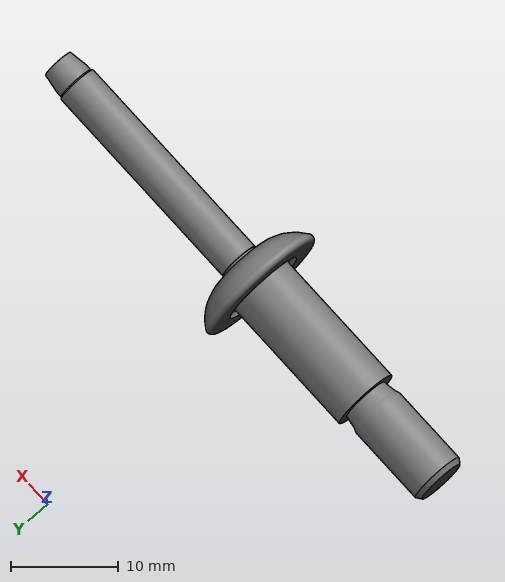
import cadquery as cq
import math


total_length = 53.0
head_blend_start = 8.55
head_blend_end = 9.1
sleeve_start = 10.45
flange_start = 24.6
dome_start = 25.45
dome_end = 27.55
shank_start = 28.0
shank_end = 50.35
pilot_start = 50.5
pilot_taper_start = 51.15

head_radius = 2.75
tip_chamfer_length = 0.55
tip_chamfer_depth = 0.35
blend_end_radius = 2.6
neck_radius = 2.4
sleeve_radius = 6.6 / 2
flange_radius = 13.3 / 2
flange_edge_round = 0.5
dome_face_radius = 3.3
dome_bulge = 0.4
shank_radius = 4.1 / 2
shank_neck_radius = 3.75 / 2
pilot_end_radius = 1.6

groove_width = 0.85


def arc_mid(start, end, bulge):
    """Point on an arc, offset from the chord to the left of travel."""
    dx = end[0] - start[0]
    dy = end[1] - start[1]
    chord = math.hypot(dx, dy)
    return (
        (start[0] + end[0]) / 2 - dy / chord * bulge,
        (start[1] + end[1]) / 2 + dx / chord * bulge,
    )


def revolve(profile):
    return profile.close().revolve(360, (0, 0, 0), (1, 0, 0))


def mandrel_head():
    return revolve(
        cq.Workplane("XY")
        .lineTo(0, head_radius - tip_chamfer_depth)
        .lineTo(tip_chamfer_length, head_radius)
        .lineTo(head_blend_start, head_radius)
        .tangentArcPoint((head_blend_end, blend_end_radius), relative=False)
        .lineTo(sleeve_start, neck_radius)
        .lineTo(sleeve_start, 0)
    )


def sleeve():
    return (
        cq.Workplane("YZ", origin=(sleeve_start, 0, 0))
        .circle(sleeve_radius)
        .extrude(dome_start - sleeve_start)
    )


def flange():
    edge_peak = flange_start + flange_edge_round
    edge_center_radius = flange_radius - flange_edge_round
    rim_rise = math.sqrt(flange_edge_round**2 - (dome_start - edge_peak) ** 2)
    dome_rim = (dome_start, edge_center_radius + rim_rise)
    dome_face_edge = (dome_end, dome_face_radius)
    return revolve(
        cq.Workplane("XY")
        .moveTo(flange_start, 0)
        .lineTo(flange_start, edge_center_radius)
        .threePointArc((edge_peak, flange_radius), dome_rim)
        .threePointArc(arc_mid(dome_rim, dome_face_edge, dome_bulge), dome_face_edge)
        .lineTo(dome_end, 0)
    )


def flange_groove():
    groove_radius = groove_width / 2
    groove_center = sleeve_radius + groove_radius
    return revolve(
        cq.Workplane("XY")
        .moveTo(flange_start, sleeve_radius)
        .threePointArc(
            (flange_start + groove_radius, groove_center),
            (flange_start, sleeve_radius + groove_width),
        )
    )


def shank():
    return revolve(
        cq.Workplane("XY")
        .moveTo(dome_end, 0)
        .lineTo(dome_end, shank_neck_radius)
        .lineTo(shank_start, shank_neck_radius)
        .lineTo(shank_start, shank_radius)
        .lineTo(shank_end, shank_radius)
        .lineTo(pilot_start, shank_neck_radius)
        .lineTo(pilot_taper_start, shank_neck_radius)
        .lineTo(total_length, pilot_end_radius)
        .lineTo(total_length, 0)
    )


grooved_flange = flange().cut(flange_groove())
result = mandrel_head().union(sleeve()).union(grooved_flange).union(shank())